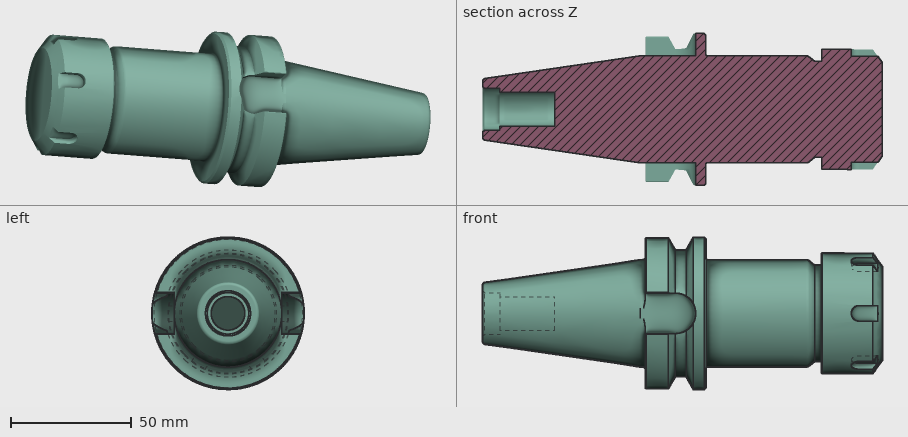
import cadquery as cq
import math

LENGTH = 165.5

TAPER_RATIO = 7 / 24
GAUGE_DIAMETER = 44.5
GAUGE_X = 65.4
SMALL_END_FILLET = 1.3

FLANGE_X = 67.4
FLANGE_END_X = 92.5
FLANGE_DIAMETER = 63.0
FRONT_RIM_DIAMETER = 62.5
GROOVE_DIAMETER = 52.6
GROOVE_FLOOR_START_X = 79.8
GROOVE_FLOOR_END_X = 84.2
GROOVE_WALL_ANGLE = 30.0
RIM_CHAMFER = 0.8
FRONT_RIM_CHAMFER = 0.3
FRONT_FACE_FILLET = 1.0
REAR_FACE_FILLET = 0.5

BODY_DIAMETER = 44.5
NECK_DIAMETER = 40.0
NECK_X = 137.4
BODY_CONE_LENGTH = 2.8
BODY_EDGE_FILLET = 1.7

NUT_X = 140.2
NUT_DIAMETER = 50.0
NUT_FACE_DIAMETER = 38.7
NUT_CONE_X = 161.5
NUT_BACK_CHAMFER = 0.3

DRIVE_SLOT_WIDTH = 16.7
DRIVE_SLOT_END_X = 88.2
DRIVE_SLOT_FLOOR = 22.2

SPANNER_SLOT_COUNT = 6
SPANNER_SLOT_WIDTH = 6.5
SPANNER_SLOT_START_X = 152.6
SPANNER_SLOT_FLOOR = 22.0

MOUTH_DIAMETER = 18.7
MOUTH_DEPTH = 0.8
PILOT_DIAMETER = 17.2
PILOT_DEPTH = 7.1
THREAD_DIAMETER = 13.9
THREAD_DEPTH = 29.8

SELECTION_MARGIN = 0.2


def edges_between(start_x, end_x, diameter):
    """Selector for edges wholly between two places along X and within a diameter."""
    reach = diameter / 2 + SELECTION_MARGIN
    return cq.selectors.BoxSelector(
        (start_x - SELECTION_MARGIN, -reach, -reach),
        (end_x + SELECTION_MARGIN, reach, reach),
        boundingbox=True,
    )


def ring_at(x, diameter):
    """Selector for the circular edges about X up to a given diameter."""
    return edges_between(x, x, diameter)


def groove_wall_run(rim_diameter):
    """Length along X of the sloped groove wall below a rim."""
    wall_height = (rim_diameter - GROOVE_DIAMETER) / 2
    return wall_height * math.tan(math.radians(GROOVE_WALL_ANGLE))


def holder_body():
    """Solid of revolution about X: taper, flange, body, neck and nut."""
    gauge_radius = GAUGE_DIAMETER / 2
    small_end_radius = gauge_radius - GAUGE_X * TAPER_RATIO / 2
    groove_radius = GROOVE_DIAMETER / 2
    front_wall_run = groove_wall_run(FRONT_RIM_DIAMETER)
    rear_wall_run = groove_wall_run(FLANGE_DIAMETER)
    outline = [
        (0, 0),
        (0, small_end_radius),
        (GAUGE_X, gauge_radius),
        (FLANGE_X, gauge_radius),
        (FLANGE_X, FRONT_RIM_DIAMETER / 2),
        (GROOVE_FLOOR_START_X - front_wall_run, FRONT_RIM_DIAMETER / 2),
        (GROOVE_FLOOR_START_X, groove_radius),
        (GROOVE_FLOOR_END_X, groove_radius),
        (GROOVE_FLOOR_END_X + rear_wall_run, FLANGE_DIAMETER / 2),
        (FLANGE_END_X - RIM_CHAMFER, FLANGE_DIAMETER / 2),
        (FLANGE_END_X, FLANGE_DIAMETER / 2 - RIM_CHAMFER),
        (FLANGE_END_X, BODY_DIAMETER / 2),
        (NECK_X - BODY_CONE_LENGTH, BODY_DIAMETER / 2),
        (NECK_X, NECK_DIAMETER / 2),
        (NUT_X, NECK_DIAMETER / 2),
        (NUT_X, NUT_DIAMETER / 2 - NUT_BACK_CHAMFER),
        (NUT_X + NUT_BACK_CHAMFER, NUT_DIAMETER / 2),
        (NUT_CONE_X, NUT_DIAMETER / 2),
        (LENGTH, NUT_FACE_DIAMETER / 2),
        (LENGTH, 0),
    ]
    profile = cq.Workplane("XY").polyline(outline).close()
    body = profile.revolve(360, (0, 0, 0), (1, 0, 0))
    body = body.faces("<X").edges().fillet(SMALL_END_FILLET)
    body = body.edges(ring_at(FLANGE_X, GAUGE_DIAMETER)).fillet(FRONT_FACE_FILLET)
    body = body.edges(ring_at(FLANGE_END_X, BODY_DIAMETER)).fillet(REAR_FACE_FILLET)
    return body.edges(ring_at(NECK_X - BODY_CONE_LENGTH, BODY_DIAMETER)).fillet(BODY_EDGE_FILLET)


def bore(diameter, depth):
    """Round cutter on the axis, entering from the small end."""
    return cq.Workplane("YZ").circle(diameter / 2).extrude(depth)


def bore_mouth():
    """Conical cutter that widens the pilot bore toward the small end."""
    return (
        cq.Workplane("YZ")
        .circle(MOUTH_DIAMETER / 2)
        .workplane(offset=MOUTH_DEPTH)
        .circle(PILOT_DIAMETER / 2)
        .loft()
    )


def drive_slot():
    """Cutter on the -Y side, open toward -X, with a full-round end."""
    radius = DRIVE_SLOT_WIDTH / 2
    centre_x = DRIVE_SLOT_END_X - radius
    return (
        cq.Workplane("XZ", origin=(0, -DRIVE_SLOT_FLOOR, 0))
        .moveTo(GAUGE_X, -radius)
        .lineTo(centre_x, -radius)
        .threePointArc((DRIVE_SLOT_END_X, 0), (centre_x, radius))
        .lineTo(GAUGE_X, radius)
        .close()
        .extrude(FLANGE_DIAMETER / 2)
    )


def chamfer_front_rim(body):
    """Break the outer edges of the slotted front rim, along its slot walls too."""
    rim_end_x = GROOVE_FLOOR_START_X - groove_wall_run(FRONT_RIM_DIAMETER)
    wall_edges = body.edges(edges_between(FLANGE_X, rim_end_x, FRONT_RIM_DIAMETER)).edges("|X or |Y")
    front_edges = body.edges(ring_at(FLANGE_X, FRONT_RIM_DIAMETER))
    outer_arcs = front_edges.edges(cq.selectors.RadiusNthSelector(-1))
    return wall_edges.add(outer_arcs).chamfer(FRONT_RIM_CHAMFER)


def spanner_slot():
    """Cutter on the -Y side, open toward +X, with a full-round end."""
    radius = SPANNER_SLOT_WIDTH / 2
    centre_x = SPANNER_SLOT_START_X + radius
    return (
        cq.Workplane("XZ", origin=(0, -SPANNER_SLOT_FLOOR, 0))
        .moveTo(LENGTH, -radius)
        .lineTo(centre_x, -radius)
        .threePointArc((SPANNER_SLOT_START_X, 0), (centre_x, radius))
        .lineTo(LENGTH, radius)
        .close()
        .extrude(NUT_DIAMETER / 2)
    )


def around_axis(cutter, count):
    """Copies of a cutter spaced evenly about X."""
    step = 360 / count
    return [cutter.rotate((0, 0, 0), (1, 0, 0), i * step) for i in range(count)]


result = holder_body()
result = result.cut(bore(PILOT_DIAMETER, PILOT_DEPTH))
result = result.cut(bore_mouth())
result = result.cut(bore(THREAD_DIAMETER, THREAD_DEPTH))
for cutter in around_axis(drive_slot(), 2):
    result = result.cut(cutter)
result = chamfer_front_rim(result)
for cutter in around_axis(spanner_slot(), SPANNER_SLOT_COUNT):
    result = result.cut(cutter)